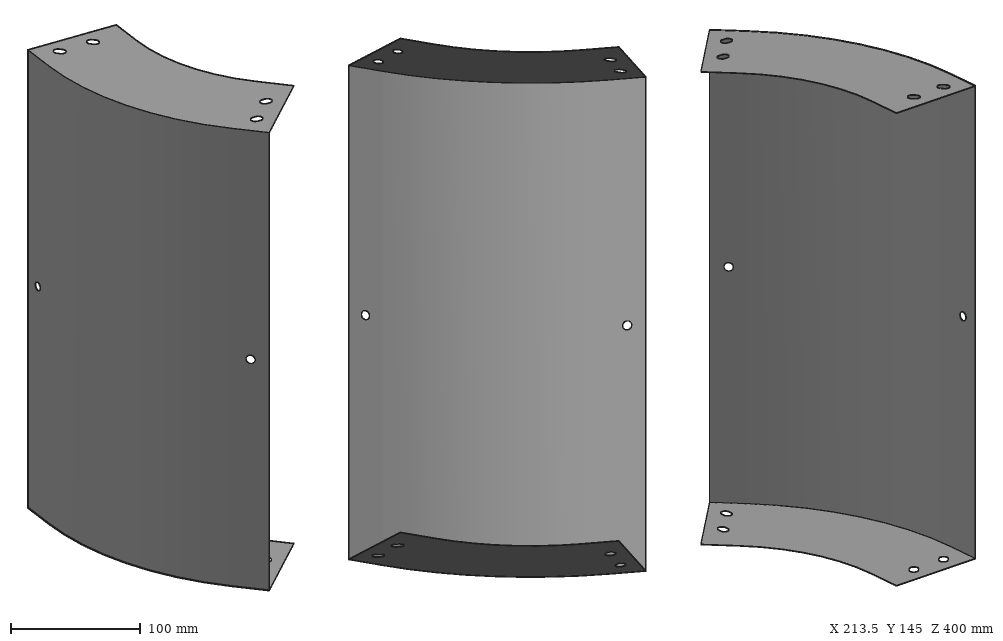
import cadquery as cq
import math

height = 400.0
sheet = 0.6
flange_width = 80.0
outer_radius = 229.5
end_length = 30.0
bend_angle = 45.0

hole_diameter = 7.0
slot_length = 10.0
slot_angle = 45.0
hole_setback = 15.0
slot_inset = 20.0
slot_pitch = 30.0
slot_count = 2

bend_center = (end_length, outer_radius)


def point_on_bend(radius, angle):
    """Point on the bend, with the angle measured from the start of the bend."""
    a = math.radians(angle)
    return (bend_center[0] + radius * math.sin(a), bend_center[1] - radius * math.cos(a))


def far_end(radius):
    """Tip of the straight run that leaves the bend."""
    x, y = point_on_bend(radius, bend_angle)
    a = math.radians(bend_angle)
    return (x + end_length * math.cos(a), y + end_length * math.sin(a))


def curved_band(width, depth):
    """Straight-bend-straight band lying inward of the outer face."""
    inner_radius = outer_radius - width
    return (
        cq.Workplane("XY")
        .moveTo(0, 0)
        .lineTo(*point_on_bend(outer_radius, 0))
        .threePointArc(point_on_bend(outer_radius, bend_angle / 2), point_on_bend(outer_radius, bend_angle))
        .lineTo(*far_end(outer_radius))
        .lineTo(*far_end(inner_radius))
        .lineTo(*point_on_bend(inner_radius, bend_angle))
        .threePointArc(point_on_bend(inner_radius, bend_angle / 2), point_on_bend(inner_radius, 0))
        .lineTo(0, width)
        .close()
        .extrude(depth)
    )


def to_far_end(cutter):
    """Turn a cutter by the bend angle and set it back from the far end edge."""
    corner_x, corner_y = far_end(outer_radius)
    return (
        cutter.translate((-2 * hole_setback, 0, 0))
        .rotate((0, 0, 0), (0, 0, 1), bend_angle)
        .translate((corner_x, corner_y, 0))
    )


def flange_slots(angle, flange_bottom):
    """Slots through one flange at the starting end."""
    return (
        cq.Workplane("XY", origin=(0, 0, flange_bottom))
        .pushPoints([(hole_setback, slot_inset + i * slot_pitch) for i in range(slot_count)])
        .slot2D(slot_length, hole_diameter, angle)
        .extrude(sheet)
    )


def wall_hole():
    """Round hole through the wall at the starting end, at mid height."""
    return (
        cq.Workplane("XZ", origin=(hole_setback, 0, height / 2))
        .circle(hole_diameter / 2)
        .extrude(2 * sheet, both=True)
    )


top_flange_bottom = height - sheet

flange = curved_band(flange_width, sheet)
result = curved_band(sheet, height).union(flange).union(flange.translate((0, 0, top_flange_bottom)))

end_cutters = [
    flange_slots(-slot_angle, 0),
    flange_slots(slot_angle, top_flange_bottom),
    wall_hole(),
]
for cutter in end_cutters:
    result = result.cut(cutter)
    result = result.cut(to_far_end(cutter))